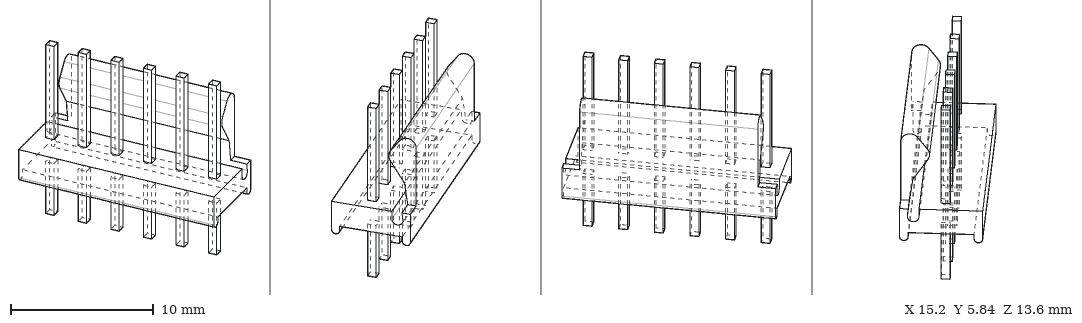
import cadquery as cq
import math


length = 15.24
depth = 5.84
base_top = 2.56
underside = 0.64
foot_width = 0.61
foot_radius = foot_width / 2
back_to_pins = 3.17

pin_count = 6
pin_pitch = length / pin_count
pin_width = 0.64
pin_bottom = -3.54
pin_length = 13.6

latch_end_gap = 1.26
latch_top = 7.88
tip_radius = 0.67
tip_center = (tip_radius, latch_top - tip_radius)
nose_radius = 0.76
nose_center = (1.26, 6.25)
latch_bend = (0.87, 4.25)

slot_radius = 0.41
slot_front = 1.37
slot_center = (slot_front - slot_radius, 1.95)


def point_on_circle(center, radius, angle):
    return (center[0] + radius * math.cos(angle), center[1] + radius * math.sin(angle))


def tangent_points(start, start_radius, end, end_radius):
    """Contacts of the common tangent on the left of travel; a negative radius contacts the right side."""
    run = end[0] - start[0]
    rise = end[1] - start[1]
    lean = math.acos((start_radius - end_radius) / math.hypot(run, rise))
    normal_angle = math.atan2(rise, run) + lean
    return (
        point_on_circle(start, start_radius, normal_angle),
        point_on_circle(end, end_radius, normal_angle),
    )


def make_housing():
    tip_contact, nose_upper = tangent_points(tip_center, tip_radius, nose_center, nose_radius)
    nose_lower, bend = tangent_points(nose_center, nose_radius, latch_bend, 0)
    bend, slot_contact = tangent_points(latch_bend, 0, slot_center, -slot_radius)

    section = cq.Plane(origin=(0, back_to_pins, 0), xDir=(0, -1, 0), normal=(-1, 0, 0))
    profile = (
        cq.Workplane(section)
        .moveTo(0, foot_radius)
        .lineTo(0, tip_center[1])
        .threePointArc((tip_center[0], latch_top), tip_contact)
        .lineTo(*nose_upper)
        .threePointArc((nose_center[0] + nose_radius, nose_center[1]), nose_lower)
        .lineTo(*bend)
        .lineTo(*slot_contact)
        .threePointArc((slot_center[0], slot_center[1] - slot_radius), (slot_front, slot_center[1]))
        .lineTo(slot_front, base_top)
        .lineTo(depth, base_top)
        .lineTo(depth, foot_radius)
        .threePointArc((depth - foot_radius, 0), (depth - foot_width, foot_radius))
        .lineTo(depth - foot_width, underside)
        .lineTo(foot_width, underside)
        .lineTo(foot_width, foot_radius)
        .threePointArc((foot_radius, 0), (0, foot_radius))
        .close()
    )
    return profile.extrude(length / 2, both=True)


def make_latch_end_cut(side):
    """Space above the base beyond one end of the latch."""
    cut_center_x = side * (length - latch_end_gap) / 2
    return (
        cq.Workplane("XY", origin=(cut_center_x, back_to_pins - depth / 2, base_top))
        .rect(latch_end_gap, depth)
        .extrude(latch_top)
    )


def make_pins():
    row_length = (pin_count - 1) * pin_pitch
    positions = [(index * pin_pitch - row_length / 2, 0) for index in range(pin_count)]
    return (
        cq.Workplane("XY", origin=(0, 0, pin_bottom))
        .pushPoints(positions)
        .rect(pin_width, pin_width)
        .extrude(pin_length)
    )


result = make_housing()
for side in (-1, 1):
    result = result.cut(make_latch_end_cut(side))
result = result.union(make_pins())